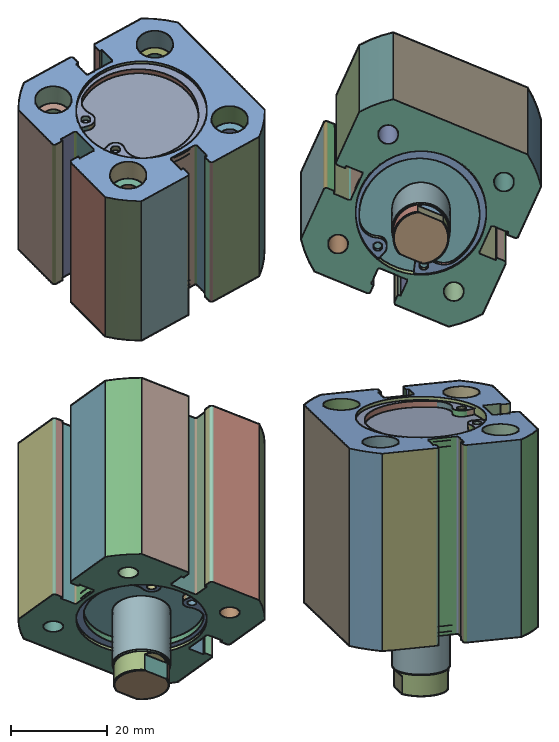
import cadquery as cq
import math


overall_length = 59.0
housing_width = 41.0
housing_height = 43.0
half_width = housing_width / 2
corner_cut = 5.35
bore_radius = 13.5

hole_pitch = 26.1
hole_diameter = 4.15
counterbore_diameter = 7.55
counterbore_depth = 5.2

slot_mouth_width = 5.4
slot_inner_width = 6.6
slot_lip_depth = 2.25
slot_depth = 6.0
slot_floor_fillet = 0.35
slot_mouth_fillet = 0.6
slot_floor_distance = half_width - slot_depth

ring_inset = 0.7
ring_thickness = 1.3
ring_floor_wall = 0.095
ring_outer_radius = slot_floor_distance - ring_floor_wall
ring_inner_radius = 12.45
ring_inner_offset = 0.8
lug_radius = 1.9
lug_hole_diameter = 1.9
lug_x = 5.2
lug_y = -10.5
lug_blend_radius = 4.0

cover_thickness = 5.9
cover_inset = ring_inset + ring_thickness

rod_radius = 6.0
rod_shoulder_drop = 11.3
rod_shoulder_chamfer = 0.3
neck_diameter = 11.5
neck_radius = neck_diameter / 2
neck_end_chamfer = 0.2
width_across_flats = 10.0
flat_half_width = width_across_flats / 2
rod_tip_drop = overall_length - housing_height


def make_slot_cutter(angle):
    """T-slot along the full height, opening on the -Y side before it is turned by angle."""
    mouth = slot_mouth_width / 2
    inner = slot_inner_width / 2
    face_y = -half_width
    lip_y = face_y + slot_lip_depth
    floor_y = -slot_floor_distance
    fillet = slot_mouth_fillet
    corner = fillet * (1 - math.sqrt(0.5))
    outline = (
        cq.Workplane("XY")
        .moveTo(-mouth - fillet, face_y)
        .threePointArc((-mouth - corner, face_y + corner), (-mouth, face_y + fillet))
        .lineTo(-mouth, lip_y)
        .lineTo(-inner, lip_y)
        .lineTo(-inner, floor_y)
        .lineTo(inner, floor_y)
        .lineTo(inner, lip_y)
        .lineTo(mouth, lip_y)
        .lineTo(mouth, face_y + fillet)
        .threePointArc((mouth + corner, face_y + corner), (mouth + fillet, face_y))
        .close()
    )
    cutter = outline.extrude(housing_height)
    cutter = cutter.edges("|Z").edges(">Y").fillet(slot_floor_fillet)
    return cutter.rotate((0, 0, 0), (0, 0, 1), angle)


def make_housing(rings):
    """Square tube with arced corners, a through bore, four holes, three slots and ring seats."""
    corner_radius = math.hypot(half_width, half_width - corner_cut)
    block = cq.Workplane("XY").rect(housing_width, housing_width).extrude(housing_height)
    body = block.intersect(cq.Workplane("XY").circle(corner_radius).extrude(housing_height))
    body = body.cut(cq.Workplane("XY").circle(bore_radius).extrude(housing_height))
    body = (
        body.faces(">Z").workplane(origin=(0, 0, housing_height))
        .rect(hole_pitch, hole_pitch, forConstruction=True).vertices()
        .cboreHole(hole_diameter, counterbore_diameter, counterbore_depth)
    )
    for angle in (0, 90, -90):
        body = body.cut(make_slot_cutter(angle))
    for ring in rings:
        body = body.cut(ring)
    return body


def point_on_circle(center, radius, angle):
    """Point at the given angle on a circle."""
    return (center[0] + radius * math.cos(angle), center[1] + radius * math.sin(angle))


def angle_to(start, end):
    """Direction from one point to another."""
    return math.atan2(end[1] - start[1], end[0] - start[0])


def mirror_x(point):
    """The same point on the other side of the YZ plane."""
    return (-point[0], point[1])


def make_ring(base_z):
    """Retaining ring, open towards -Y, with an eccentric inner edge and two eyed lugs."""
    axis = (0, 0)
    inner_center = (0, -ring_inner_offset)
    lug_center = (lug_x, lug_y)

    to_inner = ring_inner_radius - lug_blend_radius
    to_lug = lug_radius + lug_blend_radius
    lug_span = math.dist(inner_center, lug_center)
    turn = math.acos((to_inner**2 + lug_span**2 - to_lug**2) / (2 * to_inner * lug_span))
    blend_center = point_on_circle(inner_center, to_inner, angle_to(inner_center, lug_center) + turn)

    lug_distance = math.dist(axis, lug_center)
    end_angle = angle_to(axis, lug_center) - math.asin(lug_radius / lug_distance)
    end_outer = point_on_circle(axis, ring_outer_radius, end_angle)
    lug_end = point_on_circle(axis, math.sqrt(lug_distance**2 - lug_radius**2), end_angle)

    inner_end = point_on_circle(inner_center, ring_inner_radius, angle_to(inner_center, blend_center))
    lug_start = point_on_circle(lug_center, lug_radius, angle_to(lug_center, blend_center))
    blend_start_angle = angle_to(blend_center, inner_end)
    blend_end_angle = angle_to(blend_center, lug_start)
    blend_middle = point_on_circle(blend_center, lug_blend_radius, (blend_start_angle + blend_end_angle) / 2)
    lug_start_angle = angle_to(lug_center, lug_start)
    lug_end_angle = angle_to(lug_center, lug_end) + 2 * math.pi
    lug_middle = point_on_circle(lug_center, lug_radius, (lug_start_angle + lug_end_angle) / 2)

    outline = (
        cq.Workplane("XY")
        .moveTo(*end_outer)
        .threePointArc((0, ring_outer_radius), mirror_x(end_outer))
        .lineTo(*mirror_x(lug_end))
        .threePointArc(mirror_x(lug_middle), mirror_x(lug_start))
        .threePointArc(mirror_x(blend_middle), mirror_x(inner_end))
        .threePointArc((0, ring_inner_radius - ring_inner_offset), inner_end)
        .threePointArc(blend_middle, lug_start)
        .threePointArc(lug_middle, lug_end)
        .close()
    )
    eyes = (
        cq.Workplane("XY")
        .pushPoints([lug_center, mirror_x(lug_center)])
        .circle(lug_hole_diameter / 2)
        .extrude(ring_thickness)
    )
    return outline.extrude(ring_thickness).cut(eyes).translate((0, 0, base_z))


def make_head_cover():
    """Plain disc that closes the bore under the top ring."""
    base_z = housing_height - cover_inset - cover_thickness
    return cq.Workplane("XY", origin=(0, 0, base_z)).circle(bore_radius).extrude(cover_thickness)


def make_rod_cover():
    """Disc above the bottom ring, bored for the rod."""
    return (
        cq.Workplane("XY", origin=(0, 0, cover_inset))
        .circle(bore_radius)
        .circle(rod_radius)
        .extrude(cover_thickness)
    )


def make_flat_cutter():
    """Wrench flat on the -Y side of the neck, with a 45 degree run-out up to the shoulder."""
    run_out = neck_radius - flat_half_width
    return (
        cq.Workplane("YZ")
        .moveTo(-neck_radius, -rod_shoulder_drop)
        .lineTo(-flat_half_width, -rod_shoulder_drop - run_out)
        .lineTo(-flat_half_width, -rod_tip_drop)
        .lineTo(-neck_radius, -rod_tip_drop)
        .close()
        .extrude(neck_radius, both=True)
    )


def make_rod():
    """Round rod from the head cover to the tip, with a stepped neck and two wrench flats."""
    top_z = housing_height - cover_inset - cover_thickness
    shaft = (
        cq.Workplane("XY", origin=(0, 0, -rod_shoulder_drop))
        .circle(rod_radius)
        .extrude(rod_shoulder_drop + top_z)
        .faces("<Z").chamfer(rod_shoulder_chamfer)
    )
    neck = (
        cq.Workplane("XY", origin=(0, 0, -rod_tip_drop))
        .circle(neck_radius)
        .extrude(rod_tip_drop - rod_shoulder_drop)
        .faces("<Z").chamfer(neck_end_chamfer)
    )
    flat = make_flat_cutter()
    return shaft.union(neck).cut(flat).cut(flat.mirror("XZ"))


ring_base_heights = (ring_inset, housing_height - ring_inset - ring_thickness)
rings = [make_ring(base_z) for base_z in ring_base_heights]
housing = make_housing(rings)
head_cover = make_head_cover()
rod_cover = make_rod_cover()
rod = make_rod()

result = cq.Compound.makeCompound(
    [housing.val(), head_cover.val(), rod_cover.val(), rod.val(), *[ring.val() for ring in rings]]
)